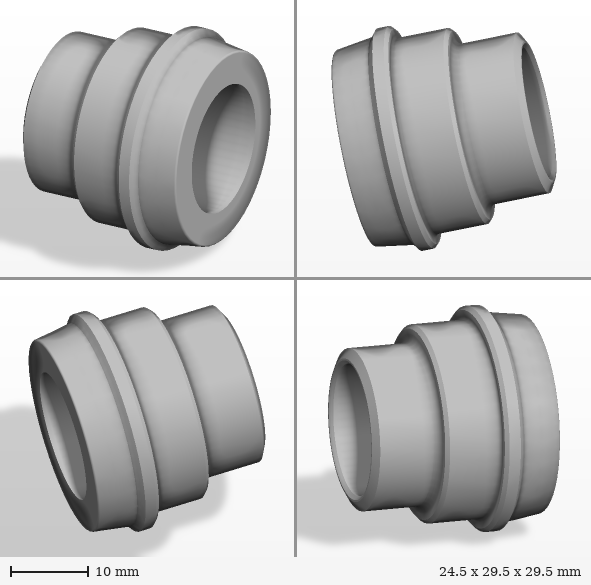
import cadquery as cq
import math

total_length = 24.5
shoulder_x = 9.0
collar_x = 16.55
collar_flat_end_x = 18.58
collar_slope_end_x = 18.97
taper_start_x = 19.38
taper_end_x = 24.28

bore_radius = 17.3 / 2
spigot_radius = 21.3 / 2
body_radius = 26.0 / 2
collar_radius = 29.5 / 2
collar_slope_end_radius = 14.22
taper_start_radius = 13.78
taper_end_radius = 13.05

weld_bevel_length = 0.75
weld_bevel_angle = 30
bore_chamfer = 0.47
step_chamfer = 0.5
shoulder_fillet = 1.0
collar_fillet = 0.38

weld_bevel_height = weld_bevel_length / math.tan(math.radians(weld_bevel_angle))
arc_diagonal = math.sqrt(0.5)
taper_angle = math.atan2(taper_start_radius - taper_end_radius, taper_end_x - taper_start_x)
rim_round = (total_length - taper_end_x) / (1 - math.sin(taper_angle))
rim_radius = taper_end_radius - rim_round * math.cos(taper_angle)


def fillet_step(outline, face_x, radius, fillet):
    """Run along a cylinder, then round the inner corner up onto a step face."""
    centre_x = face_x - fillet
    centre_radius = radius + fillet
    middle = (centre_x + fillet * arc_diagonal, centre_radius - fillet * arc_diagonal)
    return outline.lineTo(centre_x, radius).threePointArc(middle, (face_x, centre_radius))


def chamfer_step(outline, face_x, radius, chamfer):
    """Climb a step face and chamfer its outer corner."""
    return outline.lineTo(face_x, radius - chamfer).lineTo(face_x + chamfer, radius)


outline = cq.Workplane("XY").moveTo(bore_chamfer, bore_radius)
outline = outline.lineTo(0, bore_radius + bore_chamfer)

outline = outline.lineTo(0, spigot_radius - weld_bevel_height)
outline = outline.lineTo(weld_bevel_length, spigot_radius)
outline = fillet_step(outline, shoulder_x, spigot_radius, shoulder_fillet)

outline = chamfer_step(outline, shoulder_x, body_radius, step_chamfer)
outline = fillet_step(outline, collar_x, body_radius, collar_fillet)

outline = chamfer_step(outline, collar_x, collar_radius, step_chamfer)
outline = outline.lineTo(collar_flat_end_x, collar_radius)
outline = outline.lineTo(collar_slope_end_x, collar_slope_end_radius)
outline = outline.tangentArcPoint((taper_start_x, taper_start_radius), relative=False)

outline = outline.lineTo(taper_end_x, taper_end_radius)
outline = outline.tangentArcPoint((total_length, rim_radius), relative=False)
outline = outline.lineTo(total_length, bore_radius).close()

result = outline.revolve(360, (0, 0, 0), (1, 0, 0))